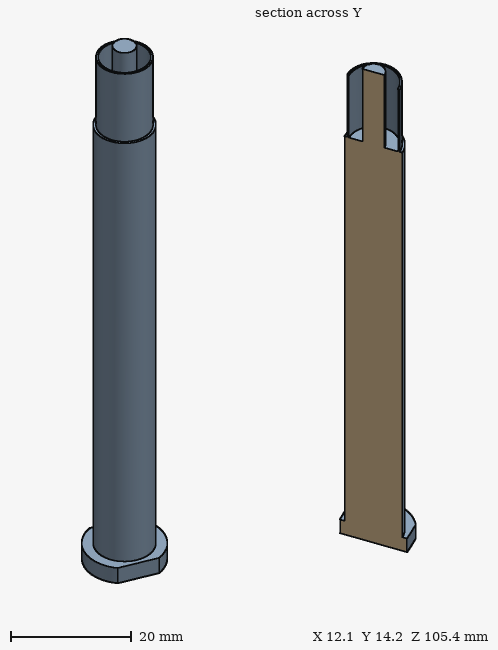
import cadquery as cq

total_height = 105.4
flange_height = 3.2
body_top = 89.2
sleeve_top = 103.1

flange_diameter = 14.2
flange_width = 12.1
body_diameter = 10.4
sleeve_diameter = 9.5
bore_diameter = 8.7
pin_diameter = 4.0

bore_floor = body_top


def cylinder(diameter, bottom, top):
    """Upright cylinder on the Z axis between two heights."""
    return cq.Workplane("XY").workplane(offset=bottom).circle(diameter / 2).extrude(top - bottom)


def flange():
    """Round base flange with a flat on each X side."""
    flats = cq.Workplane("XY").rect(flange_width, flange_diameter).extrude(flange_height)
    return cylinder(flange_diameter, 0, flange_height).intersect(flats)


body = cylinder(body_diameter, 0, body_top)
sleeve = cylinder(sleeve_diameter, body_top, sleeve_top)
bore = cylinder(bore_diameter, bore_floor, sleeve_top)
pin = cylinder(pin_diameter, bore_floor, total_height)

result = flange().union(body).union(sleeve).cut(bore).union(pin)